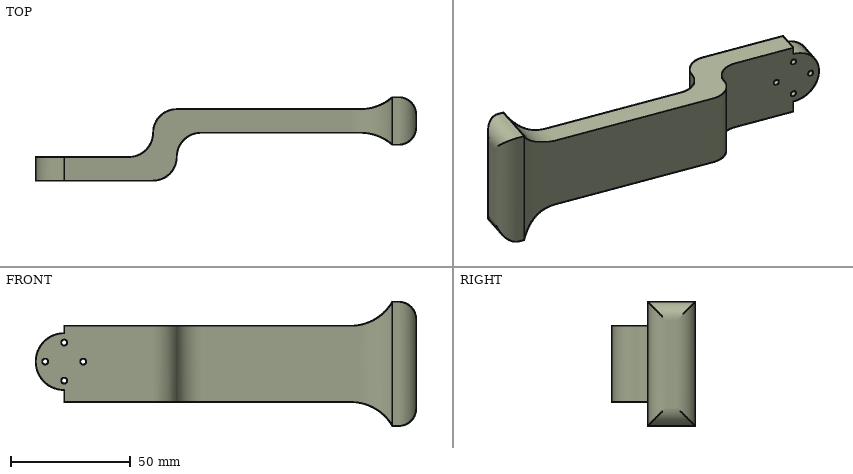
import cadquery as cq
import math

length = 159.0
depth = 35.0
head_height = 52.0
bar_height = 32.0
bar_thickness = depth / 3.5
step_x = 59.0
tongue_radius = 12.0
tongue_z = 1.0
hole_diameter = 2.4
hole_circle_radius = 8.0
hole_count = 4
flare_radius = 20.0
head_round = 7.5

bend_radius = bar_thickness
step_height = 2 * bend_radius
head_width = 2 * bar_thickness
head_length = bar_thickness
head_x = length - head_length
bar_center_y = step_height + bar_thickness / 2


def make_bar():
    """S-bent bar of constant thickness, from the shoulder to the head."""
    t = bar_thickness
    r = bend_radius
    diagonal = r * math.sqrt(0.5)
    front_end_x = step_x + r
    back_x = step_x - t
    back_y = t + r
    outline = (
        cq.Workplane("XY")
        .moveTo(tongue_radius, 0)
        .lineTo(step_x - r, 0)
        .threePointArc((step_x - r + diagonal, r - diagonal), (step_x, r))
        .threePointArc((front_end_x - diagonal, r + diagonal), (front_end_x, step_height))
        .lineTo(head_x, step_height)
        .lineTo(head_x, step_height + t)
        .lineTo(back_x + r, step_height + t)
        .threePointArc((back_x + r - diagonal, back_y + diagonal), (back_x, back_y))
        .threePointArc((back_x - r + diagonal, back_y - diagonal), (back_x - r, t))
        .lineTo(tongue_radius, t)
        .close()
    )
    return outline.extrude(bar_height / 2, both=True)


def make_tongue():
    """Round mounting end, centred lengthwise on the shoulder."""
    disc = cq.Workplane("XZ", origin=(tongue_radius, 0, tongue_z)).circle(tongue_radius)
    return disc.extrude(-bar_thickness)


def make_holes():
    """Ring of through holes in the mounting end."""
    ring = cq.Workplane("XZ", origin=(tongue_radius, 0, tongue_z))
    ring = ring.polarArray(hole_circle_radius, 0, 360, hole_count)
    return ring.circle(hole_diameter / 2).extrude(-bar_thickness)


def flare_profile(plane, bar_half, head_half, extrude_half):
    """Symmetric neck that leaves the bar tangentially and curves out to the head."""
    rise = head_half - bar_half
    sweep = math.acos(1 - rise / flare_radius)
    start_x = head_x - flare_radius * math.sin(sweep)
    neck_start_x = head_x - 2 * flare_radius
    mid_x = start_x + flare_radius * math.sin(sweep / 2)
    mid_half = bar_half + flare_radius * (1 - math.cos(sweep / 2))
    outline = (
        cq.Workplane(plane, origin=(0, bar_center_y, 0))
        .moveTo(neck_start_x, -bar_half)
        .lineTo(start_x, -bar_half)
        .threePointArc((mid_x, -mid_half), (head_x, -head_half))
        .lineTo(head_x, head_half)
        .threePointArc((mid_x, mid_half), (start_x, bar_half))
        .lineTo(neck_start_x, bar_half)
        .close()
    )
    return outline.extrude(extrude_half, both=True)


def make_flare():
    """Neck curved on all four sides, with mitred corners."""
    in_plan = flare_profile("XY", bar_thickness / 2, head_width / 2, head_height / 2)
    in_elevation = flare_profile("XZ", bar_height / 2, head_height / 2, head_width / 2)
    return in_plan.intersect(in_elevation)


def make_head():
    """Rectangular head with all edges of its end face rounded."""
    block = cq.Workplane("XY").box(head_length, head_width, head_height)
    block = block.translate((head_x + head_length / 2, bar_center_y, 0))
    return block.faces(">X").edges().fillet(head_round)


result = make_bar().union(make_tongue()).union(make_flare()).union(make_head()).cut(make_holes())